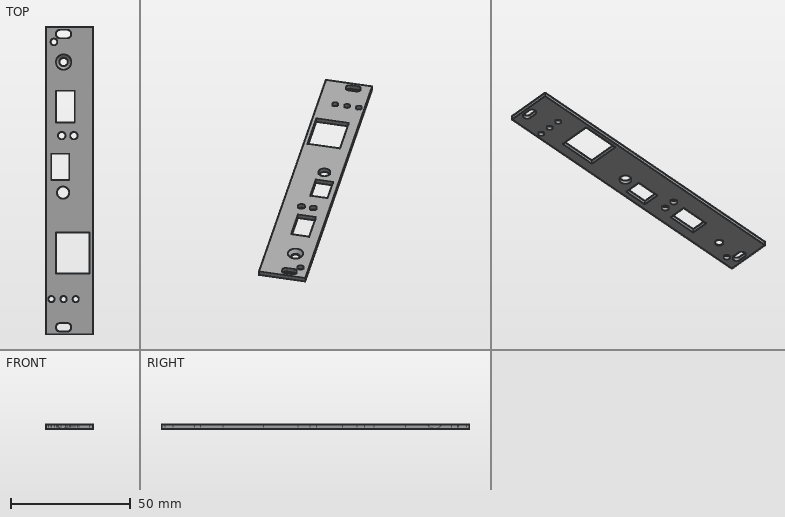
import cadquery as cq

PANEL_WIDTH = 19.8
PANEL_HEIGHT = 128.5
PANEL_THICKNESS = 2.0

MOUNT_X = 7.42
MOUNT_EDGE_DISTANCE = 3.0
SLOT_LENGTH = 6.2
SLOT_WIDTH = 3.4
SLOT_CORNER_RADIUS = 1.5

SCREW_Y = 113.8
SCREW_HOLE_DIAMETER = 3.4
COUNTERSINK_DIAMETER = 6.4
COUNTERSINK_ANGLE = 90.0

CORNER_HOLE_DIAMETER = 2.7
CORNER_HOLE_CENTER = (3.4, 122.2)
BUTTON_DIAMETER = 5.0
BUTTON_CENTER = (7.22, 59.25)
HOLE_PITCH = 5.08
LED_PAIR_DIAMETER = 3.0
LED_PAIR_START = (6.65, 83.05)
LED_PAIR_COUNT = 2
LED_ROW_DIAMETER = 2.5
LED_ROW_START = (MOUNT_X - HOLE_PITCH, 14.77)
LED_ROW_COUNT = 3

UPPER_WINDOW = (4.3, 88.6, 7.7, 13.1)
MIDDLE_WINDOW = (2.3, 64.6, 7.4, 10.8)
LOWER_WINDOW = (4.3, 25.5, 13.9, 17.0)


def make_plate():
    return cq.Workplane("XY").box(PANEL_WIDTH, PANEL_HEIGHT, PANEL_THICKNESS, centered=False)


def front_plane():
    """Workplane on the front face, sharing the panel origin in X and Y."""
    return cq.Workplane("XY", origin=(0, 0, PANEL_THICKNESS))


def cut_mounting_slots(panel):
    centers = [
        (MOUNT_X, MOUNT_EDGE_DISTANCE),
        (MOUNT_X, PANEL_HEIGHT - MOUNT_EDGE_DISTANCE),
    ]
    slots = (
        front_plane()
        .pushPoints(centers)
        .rect(SLOT_LENGTH, SLOT_WIDTH)
        .extrude(-PANEL_THICKNESS)
        .edges("|Z")
        .fillet(SLOT_CORNER_RADIUS)
    )
    return panel.cut(slots)


def cut_screw_hole(panel):
    return (
        panel.copyWorkplane(front_plane())
        .pushPoints([(MOUNT_X, SCREW_Y)])
        .cskHole(SCREW_HOLE_DIAMETER, COUNTERSINK_DIAMETER, COUNTERSINK_ANGLE)
    )


def cut_hole_row(panel, start, diameter, count=1):
    """Cut round through holes in a row along X, beginning at start."""
    centers = [(start[0] + i * HOLE_PITCH, start[1]) for i in range(count)]
    holes = front_plane().pushPoints(centers).circle(diameter / 2).extrude(-PANEL_THICKNESS)
    return panel.cut(holes)


def cut_window(panel, window):
    left, bottom, width, height = window
    opening = (
        front_plane()
        .moveTo(left + width / 2, bottom + height / 2)
        .rect(width, height)
        .extrude(-PANEL_THICKNESS)
    )
    return panel.cut(opening)


result = make_plate()
result = cut_mounting_slots(result)
result = cut_screw_hole(result)
result = cut_hole_row(result, CORNER_HOLE_CENTER, CORNER_HOLE_DIAMETER)
result = cut_hole_row(result, BUTTON_CENTER, BUTTON_DIAMETER)
result = cut_hole_row(result, LED_PAIR_START, LED_PAIR_DIAMETER, LED_PAIR_COUNT)
result = cut_hole_row(result, LED_ROW_START, LED_ROW_DIAMETER, LED_ROW_COUNT)
for connector_window in (UPPER_WINDOW, MIDDLE_WINDOW, LOWER_WINDOW):
    result = cut_window(result, connector_window)